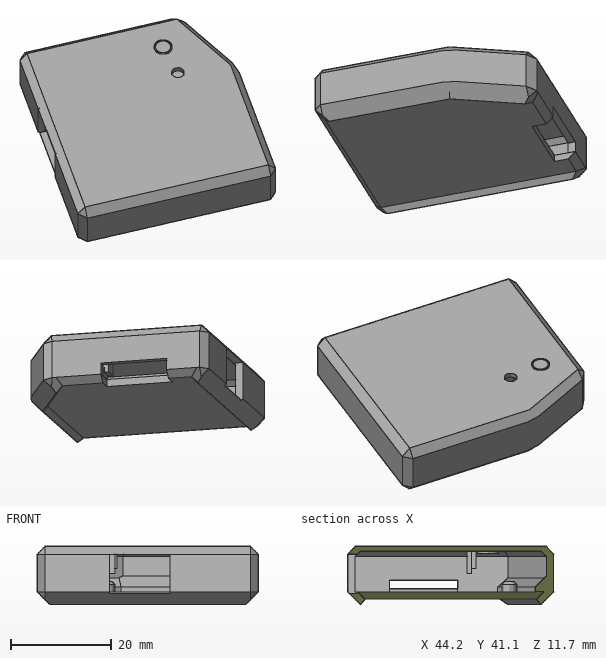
import cadquery as cq
import math

LENGTH = 44.15
WIDTH = 41.1
HEIGHT = 11.65
CUT_X = 15.5
CUT_Y = 33.55

BEVEL = 1.5
BEVEL_X = 1.65
TOP_BEVEL_HEIGHT = 1.65
FOOT = 2.55
FACET_DROP = 1.55
WALL_TOP = HEIGHT - TOP_BEVEL_HEIGHT

LID_BOTTOM = 1.1
LID_TOP = FOOT
LID_INSET_TOP = 2.08
LID_INSET_BOTTOM = LID_INSET_TOP + LID_TOP - LID_BOTTOM
LIP_FLAT = 0.05
OVERRUN = 2.2

ROOF = 1.0
WALL = 1.5
CUT_WALL = 2.08
LEDGE = 2.25
CUT_LEDGE_BASE = 1.68
LEDGE_TOP = 5.75
LEDGE_EDGE = LEDGE_TOP - LEDGE
CEILING = HEIGHT - ROOF
CEILING_BEVEL_Z = 9.6
CEILING_BEVEL = CEILING - CEILING_BEVEL_Z

PORT_X = (14.5, 26.5)
PORT_SILL = 2.25
SILL_DEPTH = 1.85
PORT_HEAD_DEPTH = 3.97

NOTCH_Y = (8.35, 21.95)
NOTCH_TOP = 4.85
NOTCH_DEPTH = 4.4
RAMP_HEIGHT = 0.6
RAMP_CREST = 0.9

BUTTON_X, BUTTON_Y = 7.65, 28.0
BUTTON_HOLE_D = 3.6
BUTTON_D = 3.5
BUTTON_TOP_D = 3.0
BUTTON_FLANGE_D = 4.2
BUTTON_FLANGE = 0.45
LAMP_X, LAMP_Y, LAMP_D = 14.8, 28.95, 2.5

RIB_THICKNESS = 0.9
RIB_X = 12.35
RIB_Y = 23.85
RIBS = ((15.55, 6.23), (16.0, 7.15))

POST_X, POST_Y, POST_D = 14.05, 32.25, 3.0
POST_TOP = 4.65
POST_CHAMFER = 0.6

CORNERS = ((0, 0), (LENGTH, 0), (LENGTH, WIDTH), (CUT_X, WIDTH), (0, CUT_Y))
SIDES = len(CORNERS)


def side_insets(front, x_sides, back, cut):
    """Insets of the five sides in corner order: -Y, +X, +Y, cut corner, -X."""
    return (front, x_sides, back, cut, x_sides)


def direction(side):
    """Unit vector along a side."""
    x0, y0 = CORNERS[side]
    x1, y1 = CORNERS[(side + 1) % SIDES]
    length = math.hypot(x1 - x0, y1 - y0)
    return (x1 - x0) / length, (y1 - y0) / length


def inset_outline(insets):
    """Corners of the plan after each side moves inward by its own inset."""
    points = []
    for i, (x, y) in enumerate(CORNERS):
        ax, ay = direction(i - 1)
        bx, by = direction(i)
        cross = ax * by - ay * bx
        before, after = insets[i - 1], insets[i]
        points.append((x + (before * bx - after * ax) / cross, y + (before * by - after * ay) / cross))
    return points


def tapered(insets_low, z_low, insets_high, z_high):
    """Block whose plan changes evenly between two inset outlines."""
    return (
        cq.Workplane("XY", origin=(0, 0, z_low)).polyline(inset_outline(insets_low)).close()
        .workplane(offset=z_high - z_low).polyline(inset_outline(insets_high)).close()
        .loft(ruled=True, combine=True)
    )


def box(x0, x1, y0, y1, z0, z1):
    return cq.Workplane("XY").box(x1 - x0, y1 - y0, z1 - z0, centered=False).translate((x0, y0, z0))


def disc(x, y, diameter, z0, z1):
    return cq.Workplane("XY", origin=(x, y, z0)).circle(diameter / 2).extrude(z1 - z0)


def envelope():
    """Bevelled outside with a vertical facet and two triangles at every corner."""
    setbacks = side_insets(BEVEL, BEVEL_X, BEVEL, BEVEL)

    def ring(points, z):
        return [cq.Vector(x, y, z) for x, y in points]

    top = ring(inset_outline(setbacks), HEIGHT)
    drop = ring(inset_outline([FACET_DROP] * SIDES), FOOT - FACET_DROP)
    bottom = ring(inset_outline([FOOT] * SIDES), 0)

    before, after = [], []
    for i, (x, y) in enumerate(CORNERS):
        ax, ay = direction(i - 1)
        bx, by = direction(i)
        before.append((x - ax * setbacks[i], y - ay * setbacks[i]))
        after.append((x + bx * setbacks[i - 1], y + by * setbacks[i - 1]))
    before_low, before_high = ring(before, FOOT), ring(before, WALL_TOP)
    after_low, after_high = ring(after, FOOT), ring(after, WALL_TOP)

    loops = [top, bottom]
    for i in range(SIDES):
        j = (i + 1) % SIDES
        loops += [
            [after_high[i], before_high[j], top[j], top[i]],
            [after_low[i], before_low[j], before_high[j], after_high[i]],
            [after_low[i], before_low[j], drop[j], bottom[j], bottom[i], drop[i]],
            [before_high[i], after_high[i], top[i]],
            [before_low[i], after_low[i], after_high[i], before_high[i]],
            [before_low[i], after_low[i], drop[i]],
        ]
    faces = [cq.Face.makeFromWires(cq.Wire.makePolygon(loop, close=True)) for loop in loops]
    return cq.Workplane(obj=cq.Solid.makeSolid(cq.Shell.makeShell(faces)))


def lid_blank():
    """Dovetail plate that runs past both X sides."""
    low, high = LID_INSET_BOTTOM, LID_INSET_TOP
    return tapered(
        side_insets(low, -OVERRUN, low, low), LID_BOTTOM,
        side_insets(high, -OVERRUN, high, high), LID_TOP,
    )


def channel_mouth():
    """Flared opening below the lid, between the two lips."""
    foot, lip = FOOT + LIP_FLAT, LID_INSET_BOTTOM
    return tapered(
        side_insets(foot, -OVERRUN, foot, foot), 0,
        side_insets(lip, -OVERRUN, lip, lip), LID_BOTTOM,
    )


def cavity():
    """Inner space: narrow above the lid, widening over the ledge, bevelled at the ceiling."""
    wide = side_insets(WALL, WALL, WALL, CUT_WALL)
    ledge_back = side_insets(WALL, WALL, WALL, CUT_LEDGE_BASE)
    narrow = side_insets(WALL, WALL, WALL + LEDGE, CUT_LEDGE_BASE + LEDGE)
    ceiling = [inset + CEILING_BEVEL for inset in wide]
    return (
        tapered(narrow, LID_TOP, narrow, LEDGE_EDGE)
        .union(tapered(narrow, LEDGE_EDGE, ledge_back, LEDGE_TOP))
        .intersect(tapered(wide, LID_TOP, wide, LEDGE_TOP))
        .union(tapered(wide, LEDGE_TOP, wide, CEILING_BEVEL_Z))
        .union(tapered(wide, CEILING_BEVEL_Z, ceiling, CEILING))
    )


def finger_notch():
    return box(0, NOTCH_DEPTH, *NOTCH_Y, 0, NOTCH_TOP)


def make_housing(outside):
    body = outside.cut(lid_blank()).cut(channel_mouth()).cut(cavity())
    for i, (end_x, low_z) in enumerate(RIBS):
        y = RIB_Y + i * RIB_THICKNESS
        body = body.union(box(RIB_X, end_x, y, y + RIB_THICKNESS, low_z, CEILING))
    body = body.cut(box(*PORT_X, 0, SILL_DEPTH, PORT_SILL, WALL_TOP))
    body = body.cut(box(*PORT_X, 0, PORT_HEAD_DEPTH, LID_TOP, WALL_TOP))
    body = body.cut(finger_notch())
    body = body.cut(disc(BUTTON_X, BUTTON_Y, BUTTON_HOLE_D, CEILING, HEIGHT))
    return body.cut(disc(LAMP_X, LAMP_Y, LAMP_D, CEILING, HEIGHT))


def make_lid(outside):
    plate = lid_blank().intersect(outside).cut(finger_notch())
    y0, y1 = NOTCH_Y
    ramp = (
        cq.Workplane("XZ", origin=(NOTCH_DEPTH, y1, LID_TOP))
        .polyline([(0, 0), (RAMP_HEIGHT + RAMP_CREST, 0), (RAMP_HEIGHT + RAMP_CREST, RAMP_HEIGHT),
                   (RAMP_HEIGHT, RAMP_HEIGHT)]).close()
        .extrude(y1 - y0)
    )
    post = disc(POST_X, POST_Y, POST_D, LID_TOP, POST_TOP).faces(">Z").chamfer(POST_CHAMFER)
    return plate.union(ramp).union(post)


def make_button():
    """Flanged button, flush with the roof, with a bevelled rim."""
    rim = (BUTTON_D - BUTTON_TOP_D) / 2
    stem = disc(BUTTON_X, BUTTON_Y, BUTTON_D, CEILING, HEIGHT).faces(">Z").chamfer(rim)
    return stem.union(disc(BUTTON_X, BUTTON_Y, BUTTON_FLANGE_D, CEILING - BUTTON_FLANGE, CEILING))


outside = envelope()
housing = make_housing(outside)
lid = make_lid(outside)
button = make_button()

result = cq.Compound.makeCompound([housing.val(), lid.val(), button.val()])